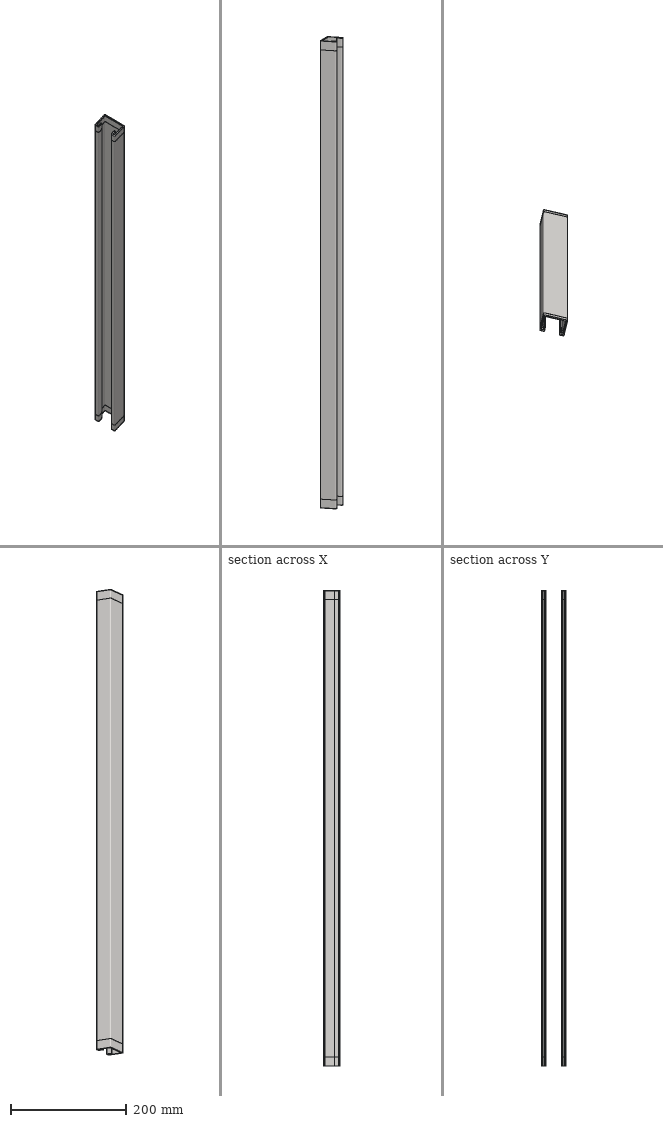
import cadquery as cq

total_length = 827.0
width = 43.0
depth = 29.0

end_length = 16.0
middle_length = total_length - 2 * end_length

wall = 2.5
lip_width = 8.0
lip_height = 10.0
outer_radius = 2.0
inner_radius = 1.0


def channel_section(bottom, length):
    """One length of U-channel, open towards -Y, with both flange edges bent back inwards."""
    middle_height = bottom + length / 2
    side = width / 2
    back = depth / 2
    front = -depth / 2
    lip_inside = side - lip_width
    lip_end = front + lip_height
    outline = [
        (-lip_inside - wall, lip_end),
        (-lip_inside, lip_end),
        (-lip_inside, front),
        (-side, front),
        (-side, back),
        (side, back),
        (side, front),
        (lip_inside, front),
        (lip_inside, lip_end),
        (lip_inside + wall, lip_end),
        (lip_inside + wall, front + wall),
        (side - wall, front + wall),
        (side - wall, back - wall),
        (wall - side, back - wall),
        (wall - side, front + wall),
        (-lip_inside - wall, front + wall),
    ]
    section = cq.Workplane("XY", origin=(0, 0, bottom)).polyline(outline).close().extrude(length)

    for hand in (-1, 1):
        outer_corners = [(side, back), (side, front), (lip_inside, front)]
        inner_corners = [
            (side - wall, back - wall),
            (side - wall, front + wall),
            (lip_inside + wall, front + wall),
        ]
        for corners, radius in ((outer_corners, outer_radius), (inner_corners, inner_radius)):
            for x, y in corners:
                corner = cq.selectors.NearestToPointSelector((hand * x, y, middle_height))
                section = section.edges("|Z").edges(corner).fillet(radius)
    return section


lower_end = channel_section(-total_length / 2, end_length)
middle_channel = channel_section(end_length - total_length / 2, middle_length)
upper_end = channel_section(total_length / 2 - end_length, end_length)

result = cq.Compound.makeCompound([lower_end.val(), middle_channel.val(), upper_end.val()])